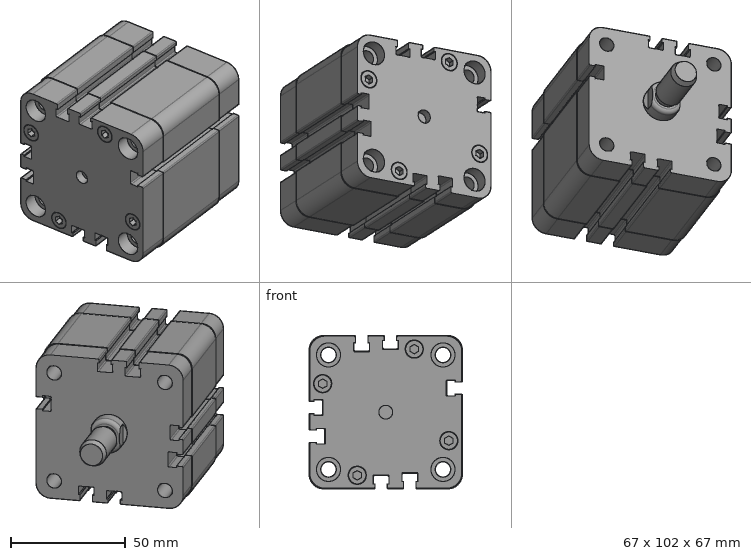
import cadquery as cq
import math

QUARTER_TURN = 90

OVERALL_LENGTH = 102
ROD_LENGTH = 31.5
CAP_LENGTH = 14.7
HOUSING_LENGTH = OVERALL_LENGTH - ROD_LENGTH
BARREL_LENGTH = HOUSING_LENGTH - 2 * CAP_LENGTH

BARREL_SIDE = 67.0
CAP_INSET = 0.33
CAP_SIDE = BARREL_SIDE - 2 * CAP_INSET
CORNER_RADIUS = 6.5

SLOT_NECK_WIDTH = 5.3
SLOT_HEAD_WIDTH = 6.7
SLOT_HEAD_HEIGHT = 3.6
SLOT_EDGE_RADIUS = 0.5
CAP_SLOT_CLEARANCE = 0.1
DEEP_SLOT_OFFSET = -10.5
DEEP_SLOT_NECK = 3.3
SHALLOW_SLOT_OFFSET = 2
SHALLOW_SLOT_NECK = 2.2
DEEP_SLOT_TURNS = (0, 1, 2, 3)
SHALLOW_SLOT_TURNS = (0, 1, 2)

MOUNT_OFFSET = 25.0
MOUNT_DIAMETER = 6.6
MOUNT_BORE_DIAMETER = 10.5
MOUNT_BORE_DEPTH = 6.5

SCREW_ALONG = 12.4
SCREW_ACROSS = 27.5
SCREW_SEAT_DIAMETER = 8.0
SCREW_HEAD_DIAMETER = 7.5
SCREW_SEAT_DEPTH = 4.1
SOCKET_ACROSS_FLATS = 3.6
SOCKET_DEPTH = 3.1

CENTRE_HOLE_DIAMETER = 6.0
CENTRE_HOLE_DEPTH = 4.1

ROD_DIAMETER = 16.0
ROD_EDGE_RADIUS = 1.9
THREAD_DIAMETER = 12.0
UNDERCUT_DIAMETER = 10.0
TIP_CHAMFER_LENGTH = 2.8
THREAD_LENGTH = 20.8
THREAD_RUNOUT_LENGTH = 0.6
SHOULDER_DISTANCE = 24.1
FLAT_WIDTH = 13.0
FLAT_END_DISTANCE = 29.6


def turned(shape, turns):
    """Rotate a shape about the Y axis by quarter turns, carrying +Z towards -X."""
    return shape.rotate((0, 0, 0), (0, 1, 0), -QUARTER_TURN * turns)


def slot_cutter(y, length, surface, centre, neck_depth, clearance):
    """T-slot in the +Z side with a rounded mouth and rounded floor corners."""
    neck = SLOT_NECK_WIDTH / 2 + clearance
    head = SLOT_HEAD_WIDTH / 2 + clearance
    lip = BARREL_SIDE / 2 - neck_depth
    floor = surface - neck_depth - SLOT_HEAD_HEIGHT
    r = SLOT_EDGE_RADIUS
    bend = r * (1 - math.sqrt(0.5))
    return (
        cq.Workplane("XZ", origin=(centre, y, 0))
        .moveTo(neck + r, surface + r)
        .lineTo(neck + r, surface)
        .threePointArc((neck + bend, surface - bend), (neck, surface - r))
        .lineTo(neck, lip)
        .lineTo(head, lip)
        .lineTo(head, floor + r)
        .threePointArc((head - bend, floor + bend), (head - r, floor))
        .lineTo(0, floor)
        .lineTo(0, surface + r)
        .close()
        .mirrorY()
        .extrude(-length)
    )


def housing_section(y, length, side, clearance):
    """One length of the housing with all its sensor slots."""
    section = (
        cq.Workplane("XZ", origin=(0, y, 0))
        .rect(side, side)
        .extrude(-length)
        .edges("|Y")
        .fillet(CORNER_RADIUS)
    )
    deep = slot_cutter(y, length, side / 2, DEEP_SLOT_OFFSET, DEEP_SLOT_NECK, clearance)
    shallow = slot_cutter(y, length, side / 2, SHALLOW_SLOT_OFFSET, SHALLOW_SLOT_NECK, clearance)
    for turns in DEEP_SLOT_TURNS:
        section = section.cut(turned(deep, turns))
    for turns in SHALLOW_SLOT_TURNS:
        section = section.cut(turned(shallow, turns))
    return section


def front_cylinder(x, z, diameter, depth):
    """Cylinder running from the front face towards +Y."""
    return cq.Workplane("XZ", origin=(x, 0, z)).circle(diameter / 2).extrude(-depth)


def mounting_hole():
    """One counterbored through hole near the +X +Z corner."""
    hole = front_cylinder(MOUNT_OFFSET, MOUNT_OFFSET, MOUNT_DIAMETER, HOUSING_LENGTH)
    bore = front_cylinder(MOUNT_OFFSET, MOUNT_OFFSET, MOUNT_BORE_DIAMETER, MOUNT_BORE_DEPTH)
    return hole.union(bore)


def screw_gap():
    """Narrow ring of clearance around a flush screw head."""
    seat = front_cylinder(SCREW_ALONG, SCREW_ACROSS, SCREW_SEAT_DIAMETER, SCREW_SEAT_DEPTH)
    head = front_cylinder(SCREW_ALONG, SCREW_ACROSS, SCREW_HEAD_DIAMETER, SCREW_SEAT_DEPTH)
    return seat.cut(head)


def screw_sockets():
    """Hexagon sockets of all four screws, every one with two flats facing X."""
    centres = [
        (SCREW_ALONG, SCREW_ACROSS),
        (-SCREW_ACROSS, SCREW_ALONG),
        (-SCREW_ALONG, -SCREW_ACROSS),
        (SCREW_ACROSS, -SCREW_ALONG),
    ]
    flat_to_corner = 1 / math.cos(math.pi / 6)
    socket = (
        cq.Workplane("XZ")
        .polygon(6, SOCKET_ACROSS_FLATS * flat_to_corner)
        .extrude(-SOCKET_DEPTH)
        .rotate((0, 0, 0), (0, 1, 0), QUARTER_TURN)
    )
    return [socket.translate((x, 0, z)) for x, z in centres]


def piston_rod():
    """Turned rod with a threaded end, an undercut and two wrench flats."""
    rod_radius = ROD_DIAMETER / 2
    thread_radius = THREAD_DIAMETER / 2
    undercut_radius = UNDERCUT_DIAMETER / 2
    tip = OVERALL_LENGTH
    shoulder = tip - SHOULDER_DISTANCE
    bend = ROD_EDGE_RADIUS * (1 - math.sqrt(0.5))
    rod = (
        cq.Workplane("XY")
        .moveTo(0, HOUSING_LENGTH - CAP_LENGTH)
        .lineTo(rod_radius, HOUSING_LENGTH - CAP_LENGTH)
        .lineTo(rod_radius, shoulder - ROD_EDGE_RADIUS)
        .threePointArc((rod_radius - bend, shoulder - bend), (rod_radius - ROD_EDGE_RADIUS, shoulder))
        .lineTo(undercut_radius, shoulder)
        .lineTo(undercut_radius, tip - THREAD_LENGTH - THREAD_RUNOUT_LENGTH)
        .lineTo(thread_radius, tip - THREAD_LENGTH)
        .lineTo(thread_radius, tip - TIP_CHAMFER_LENGTH)
        .lineTo(undercut_radius, tip)
        .lineTo(0, tip)
        .close()
        .revolve(360, (0, 0, 0), (0, 1, 0))
    )
    flat_end = tip - FLAT_END_DISTANCE
    flat_depth = rod_radius - FLAT_WIDTH / 2
    flat = (
        cq.Workplane("XY")
        .moveTo(FLAT_WIDTH / 2, flat_end)
        .lineTo(FLAT_WIDTH / 2, shoulder)
        .lineTo(rod_radius, shoulder)
        .lineTo(rod_radius, flat_end - flat_depth)
        .close()
        .extrude(rod_radius, both=True)
    )
    return rod.cut(flat).cut(flat.mirror("YZ"))


front_cap = housing_section(0, CAP_LENGTH, CAP_SIDE, CAP_SLOT_CLEARANCE)
barrel = housing_section(CAP_LENGTH, BARREL_LENGTH, BARREL_SIDE, 0)
rear_cap = housing_section(CAP_LENGTH + BARREL_LENGTH, CAP_LENGTH, CAP_SIDE, CAP_SLOT_CLEARANCE)
body = front_cap.union(barrel).union(rear_cap)

for quarter in range(4):
    body = body.cut(turned(mounting_hole(), quarter))
    body = body.cut(turned(screw_gap(), quarter))
for socket in screw_sockets():
    body = body.cut(socket)
body = body.cut(front_cylinder(0, 0, CENTRE_HOLE_DIAMETER, CENTRE_HOLE_DEPTH))

result = body.union(piston_rod())